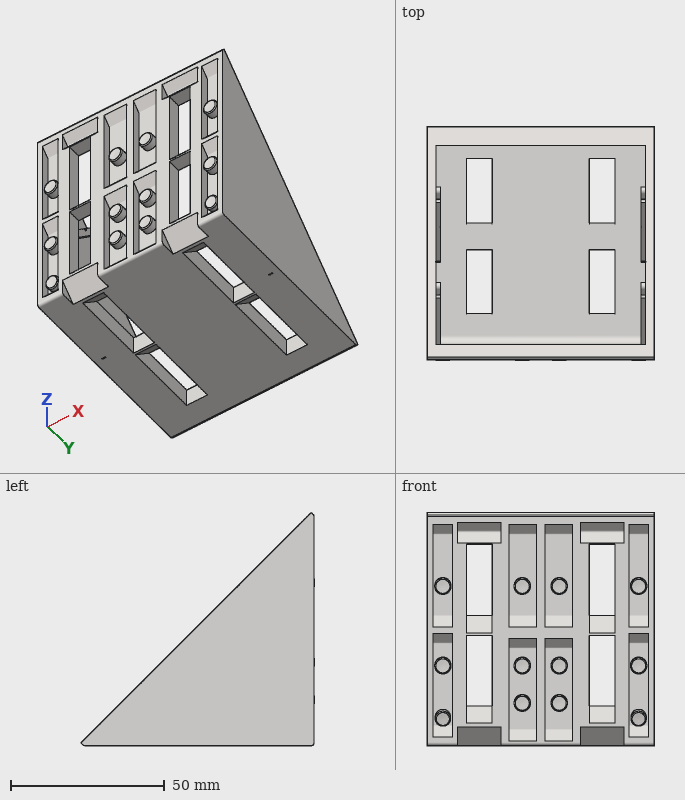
import cadquery as cq
import math

WIDTH = 74.0
HEIGHT = 76.0
TIP_LAND = 1.0
TIP_EDGE = 0.15
TIP_FLAT = 1.3
SLOPE_SUM = HEIGHT + TIP_LAND
HEEL_RADIUS = 1.1

SIDE_WALL = 2.9
FRONT_WALL = 5.1
FLOOR = 7.1
CAVITY_BACK = 69.9
CAVITY_RADIUS = 2.8

LOWER_ANGLE = 48
LOWER_SLOPE = math.tan(math.radians(LOWER_ANGLE))

WINDOW_WIDTH = 8.3
WINDOW_START = 12.9
WINDOW_X = WINDOW_START + WINDOW_WIDTH / 2
WINDOW_SPANS = [(7.4, 35.9), (36.8, 65.6)]

POCKET_WIDTH = 14.1
POCKET_SPAN = (66.05, 72.8)
POCKET_RADIUS = 0.7
NOTCH_LEG = 6.1

RECESS_DEPTH = 3.2
RECESS_RADIUS = 0.45
SIDE_RECESS_X = (2.0, 8.3)
SIDE_RECESS_SPANS = [(2.9, 36.6), (38.7, 72.1)]
MIDDLE_RECESS_X = (26.65, 35.65)
MIDDLE_RECESS_SPANS = [(1.6, 35.05), (38.7, 72.1)]

PIN_DIAMETER = 5.3
PIN_LENGTH = 4.2
PIN_TILT = 3.5
PIN_REACH = 0.15
PIN_CHAMFER = 0.4
DIMPLE_ANGLE = 3.5
SIDE_PIN_X = sum(SIDE_RECESS_X) / 2
MIDDLE_PIN_X = 31.0
SIDE_PIN_HEIGHTS = [26.05, 51.95]
MIDDLE_PIN_HEIGHTS = [13.9, 26.05, 51.95]
LOW_PIN_DIAMETER = 5.0
LOW_PIN_TILT = 13.0
LOW_PIN_HEIGHT = 8.75
LOW_PIN_SETBACK = 0.7

RIB_WIDTH = 1.45
RIB_THICKNESS = 2.6
RIB_ANGLE = 43.5
RIB_TIP_Y = [23.9, 55.1]
RIB_TIP_DEPTH = 2.0
RIB_GROOVE_RADIUS = 0.7
RIB_GROOVE_OFFSET = 3.2
RIB_ROOT_Y = [FRONT_WALL, 31.9]


def prism(points, x_start, x_end):
    """Solid with a (y, z) outline, reaching from x_start to x_end."""
    outline = cq.Workplane("YZ").polyline(points).close()
    return outline.extrude(x_end - x_start).translate((x_start, 0, 0))


def both_sides(x_start, x_end):
    """An x range and its mirror image about the middle of the part."""
    return [(x_start, x_end), (WIDTH - x_end, WIDTH - x_start)]


def centred_pair(centre, width):
    """The x range of a feature given by its centre, and its mirror image."""
    return both_sides(centre - width / 2, centre + width / 2)


def wedge():
    """Solid wedge with both tips of the sloping back blunted and the heel rounded."""
    outline = [
        (0, 0),
        (HEIGHT - TIP_FLAT, 0),
        (HEIGHT - (TIP_LAND - TIP_EDGE), TIP_EDGE),
        (HEIGHT, TIP_LAND),
        (TIP_LAND, HEIGHT),
        (TIP_EDGE, HEIGHT - (TIP_LAND - TIP_EDGE)),
        (0, HEIGHT - TIP_FLAT),
    ]
    return prism(outline, 0, WIDTH).edges("|X and <Y and <Z").fillet(HEEL_RADIUS)


def cavity():
    """Hollow open through the sloping back, rounded where the wall meets the base."""
    box = cq.Workplane("XY").box(
        WIDTH - 2 * SIDE_WALL, CAVITY_BACK - FRONT_WALL, HEIGHT, centered=False
    ).translate((SIDE_WALL, FRONT_WALL, FLOOR))
    return box.edges("|X and <Y and <Z").fillet(CAVITY_RADIUS)


def windows():
    """Windows with one square and one slanted end, in the wall and in the base."""
    cuts = []
    for x_start, x_end in centred_pair(WINDOW_X, WINDOW_WIDTH):
        for low, high in WINDOW_SPANS:
            in_wall = [
                (0, low), (FRONT_WALL, low + LOWER_SLOPE * FRONT_WALL), (FRONT_WALL, high), (0, high)
            ]
            in_base = [(low, 0), (low + LOWER_SLOPE * FLOOR, FLOOR), (high, FLOOR), (high, 0)]
            cuts.append(prism(in_wall, x_start, x_end))
            cuts.append(prism(in_base, x_start, x_end))
    return cuts


def pockets_and_notches():
    """V-shaped pockets near the top of the wall and bevelled notches across the heel."""
    cuts = []
    low, high = POCKET_SPAN
    depth = (high - low) / (1 + LOWER_SLOPE)
    groove = [(0, low), (depth, high - depth), (0, high)]
    corner = [(0, 0), (NOTCH_LEG, 0), (0, NOTCH_LEG)]
    for x_start, x_end in centred_pair(WINDOW_X, POCKET_WIDTH):
        cuts.append(prism(groove, x_start, x_end).edges("|X and >Y").fillet(POCKET_RADIUS))
        cuts.append(prism(corner, x_start, x_end))
    return cuts


def recesses(x_range, spans):
    """Front recesses with both ends slanted, the upper one at 45 degrees."""
    cuts = []
    for x_start, x_end in both_sides(*x_range):
        for low, high in spans:
            outline = [
                (0, low),
                (RECESS_DEPTH, low + LOWER_SLOPE * RECESS_DEPTH),
                (RECESS_DEPTH, high - RECESS_DEPTH),
                (0, high),
            ]
            cuts.append(prism(outline, x_start, x_end).edges("|X and >Y").fillet(RECESS_RADIUS))
    return cuts


def pin(x, y, z, diameter, tilt):
    """Pin tipped downwards, with a shallow conical dimple; (y, z) is the centre of its rim."""
    radius = diameter / 2
    rim = radius - PIN_CHAMFER
    dimple = rim * math.tan(math.radians(DIMPLE_ANGLE))
    profile = [
        (0, -dimple), (rim, 0), (radius, -PIN_CHAMFER), (radius, -PIN_LENGTH), (0, -PIN_LENGTH)
    ]
    body = cq.Workplane("XY").polyline(profile).close().revolve(axisStart=(0, 0, 0), axisEnd=(0, 1, 0))
    return body.rotate((0, 0, 0), (1, 0, 0), 180 + tilt).translate((x, y, z))


def pins():
    """Two columns of pins on each side, and a steeper pin at the foot of each side recess."""
    rim_radius = PIN_DIAMETER / 2 - PIN_CHAMFER
    rim_y = rim_radius * math.sin(math.radians(PIN_TILT)) - PIN_REACH
    bodies = []
    for column, heights in ((SIDE_PIN_X, SIDE_PIN_HEIGHTS), (MIDDLE_PIN_X, MIDDLE_PIN_HEIGHTS)):
        for x in (column, WIDTH - column):
            bodies += [pin(x, rim_y, z, PIN_DIAMETER, PIN_TILT) for z in heights]
    for x in (SIDE_PIN_X, WIDTH - SIDE_PIN_X):
        bodies.append(pin(x, LOW_PIN_SETBACK, LOW_PIN_HEIGHT, LOW_PIN_DIAMETER, LOW_PIN_TILT))
    return bodies


def slanted_slab(start, end, low, high, x_start, x_end):
    """Block along the rib direction: start..end along the rib, low..high across it."""
    block = prism([(start, low), (end, low), (end, high), (start, high)], x_start, x_end)
    return block.rotate((0, 0, 0), (1, 0, 0), RIB_ANGLE)


def rib(x_start, x_end, tip_y, root_y):
    """Round-ended rib rising from the wall or the base, with a groove across its upper face."""
    radius = RIB_THICKNESS / 2
    tip_z = SLOPE_SUM - tip_y - RIB_TIP_DEPTH
    bar = slanted_slab(-HEIGHT, 0, -radius, radius, x_start, x_end)
    width = x_end - x_start
    tip = cq.Workplane("YZ").circle(radius).extrude(width).translate((x_start, 0, 0))
    groove = cq.Workplane("YZ").center(-RIB_GROOVE_OFFSET, radius).circle(RIB_GROOVE_RADIUS)
    groove = groove.extrude(width).translate((x_start, 0, 0)).rotate((0, 0, 0), (1, 0, 0), RIB_ANGLE)
    shape = bar.union(tip).cut(groove).translate((0, tip_y, tip_z))
    room = cq.Workplane("XY").box(WIDTH, HEIGHT, HEIGHT, centered=False)
    return shape.intersect(room.translate((0, root_y, 0)))


def rib_relief(x_start, x_end, tip_y, root_y):
    """Clearance in the base above the foot of a rib."""
    tip_z = SLOPE_SUM - tip_y - RIB_TIP_DEPTH
    above = slanted_slab(-HEIGHT, 0, RIB_THICKNESS / 2, HEIGHT, x_start, x_end)
    room = cq.Workplane("XY").box(WIDTH, HEIGHT, FLOOR, centered=False).translate((0, root_y, 0))
    return above.translate((0, tip_y, tip_z)).intersect(room)


result = wedge().cut(cavity())
for x_start, x_end in both_sides(SIDE_WALL, SIDE_WALL + RIB_WIDTH):
    result = result.cut(rib_relief(x_start, x_end, RIB_TIP_Y[1], RIB_ROOT_Y[1]))
    for tip_y, root_y in zip(RIB_TIP_Y, RIB_ROOT_Y):
        result = result.union(rib(x_start, x_end, tip_y, root_y))

cuts = windows() + pockets_and_notches()
cuts += recesses(SIDE_RECESS_X, SIDE_RECESS_SPANS)
cuts += recesses(MIDDLE_RECESS_X, MIDDLE_RECESS_SPANS)
for cut in cuts:
    result = result.cut(cut)
for body in pins():
    result = result.union(body)